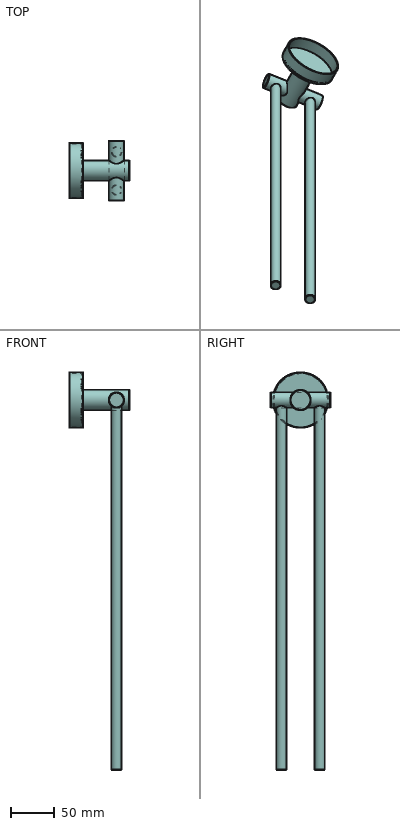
import cadquery as cq

OVERALL_DEPTH = 70.0
OVERALL_HEIGHT = 462.5
EDGE_BREAK = 0.7

FLANGE_DIAMETER = 64.8
FLANGE_THICKNESS = 16.0
FLANGE_WALL = 1.5
RECESS_DEPTH = 14.0

POST_DIAMETER = 24.0

PIN_DIAMETER = 18.0
PIN_LENGTH = 70.0
PIN_X = 54.5

ROD_DIAMETER = 12.0
ROD_SPACING = 44.5
ROD_LENGTH = OVERALL_HEIGHT - FLANGE_DIAMETER / 2


def make_flange():
    """Round cup, open toward the wall."""
    disc = cq.Workplane("YZ").circle(FLANGE_DIAMETER / 2).extrude(FLANGE_THICKNESS)
    disc = disc.faces(">X").edges().chamfer(EDGE_BREAK)
    recess_radius = FLANGE_DIAMETER / 2 - FLANGE_WALL
    recess = cq.Workplane("YZ").circle(recess_radius).extrude(RECESS_DEPTH)
    return disc.cut(recess)


def make_pin():
    """Cross pin along Y that carries both rods."""
    pin = (
        cq.Workplane("XZ", origin=(PIN_X, 0, 0))
        .circle(PIN_DIAMETER / 2)
        .extrude(PIN_LENGTH / 2, both=True)
    )
    return pin.faces("<Y or >Y").edges().chamfer(EDGE_BREAK)


def make_post(pin):
    """Round post standing on the flange, with a cross hole for the pin."""
    post = (
        cq.Workplane("YZ", origin=(FLANGE_THICKNESS, 0, 0))
        .circle(POST_DIAMETER / 2)
        .extrude(OVERALL_DEPTH - FLANGE_THICKNESS)
        .faces(">X")
        .edges()
        .chamfer(EDGE_BREAK)
    )
    return post.cut(pin)


def make_rod(y, pin):
    """Hanging rod whose upper end is shaped to the underside of the pin."""
    rod = (
        cq.Workplane("XY", origin=(PIN_X, y, 0))
        .circle(ROD_DIAMETER / 2)
        .extrude(-ROD_LENGTH)
        .faces("<Z")
        .edges()
        .chamfer(EDGE_BREAK)
    )
    return rod.cut(pin)


flange = make_flange()
pin = make_pin()
post = make_post(pin)
rods = [make_rod(side * ROD_SPACING / 2, pin) for side in (-1, 1)]

result = cq.Compound.makeCompound(
    [flange.val(), post.val(), pin.val(), *[rod.val() for rod in rods]]
)